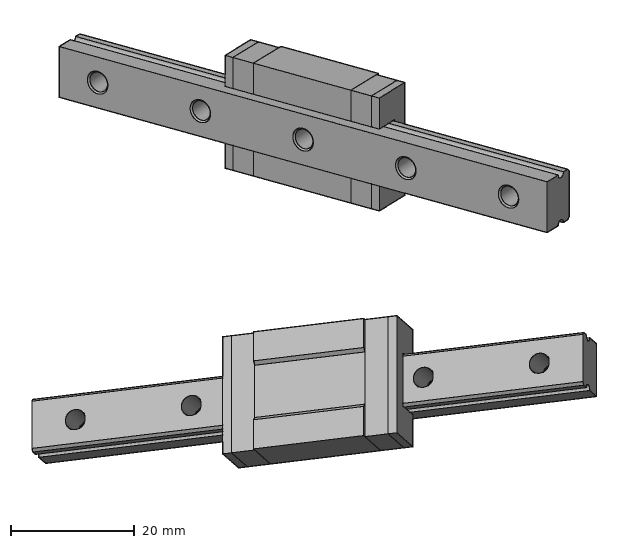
import cadquery as cq


rail_length = 95.0
rail_width = 9.0
rail_height = 6.5
rail_chamfer = 0.5
groove_radius = 0.8
groove_center_height = 4.0

hole_count = 5
hole_end_margin = 7.5
hole_pitch = (rail_length - 2 * hole_end_margin) / (hole_count - 1)
hole_diameter = 3.4
hole_chamfer = 0.3

carriage_width = 20.0
carriage_top = 10.0
carriage_clearance = 2.0
carriage_offset = -1.5
block_length = 19.0
cap_length = 4.0
seal_length = 1.5
end_step = 0.6
channel_floor_width = 8.9


def box_between(length, bottom, top, width):
    """Box centred on X and Z, reaching from bottom to top along Y."""
    middle = (bottom + top) / 2
    return cq.Workplane("XY").box(length, top - bottom, width).translate((0, middle, 0))


def make_rail():
    """Bar with two chamfered edges, a half-round ball groove in each side and a row of mounting holes."""
    bar = box_between(rail_length, 0, rail_height, rail_width)
    bar = bar.faces(">Y").edges("|X").chamfer(rail_chamfer)

    groove_axis = rail_width / 2
    grooves = (
        cq.Workplane("YZ")
        .pushPoints([(groove_center_height, -groove_axis), (groove_center_height, groove_axis)])
        .circle(groove_radius)
        .extrude(rail_length / 2, both=True)
    )

    mounting_holes = (
        cq.Workplane("XZ")
        .rarray(hole_pitch, 0.95, hole_count, 1)
        .circle(hole_diameter / 2)
        .extrude(-rail_height)
    )
    drilled = bar.cut(grooves).cut(mounting_holes)
    return drilled.faces("<Y").edges("%CIRCLE").chamfer(hole_chamfer)


def make_carriage_section(length, top, center_x):
    """Slice of the carriage that straddles the rail."""
    body = box_between(length, carriage_clearance, top, carriage_width)
    rail_slot = box_between(length, carriage_clearance, rail_height, rail_width)
    return body.cut(rail_slot).translate((center_x, 0, 0))


def make_block():
    """Middle of the carriage, with a 45 degree sided channel along its mounting face."""
    floor_half = channel_floor_width / 2
    mouth_half = floor_half + end_step
    channel_floor = carriage_top - end_step
    channel = (
        cq.Workplane("YZ", origin=(carriage_offset, 0, 0))
        .polyline(
            [
                (channel_floor, -floor_half),
                (channel_floor, floor_half),
                (carriage_top, mouth_half),
                (carriage_top, -mouth_half),
            ]
        )
        .close()
        .extrude(block_length / 2, both=True)
    )
    return make_carriage_section(block_length, carriage_top, carriage_offset).cut(channel)


def make_end_cap(side):
    """Cap against the block's end; side is -1 or 1 along X."""
    distance = (block_length + cap_length) / 2
    return make_carriage_section(cap_length, carriage_top - end_step, carriage_offset + side * distance)


def make_end_seal(side):
    """Thin wiper plate outside an end cap; side is -1 or 1 along X."""
    distance = block_length / 2 + cap_length + seal_length / 2
    return make_carriage_section(seal_length, carriage_top - end_step, carriage_offset + side * distance)


rail = make_rail()
block = make_block()
end_caps = [make_end_cap(side) for side in (-1, 1)]
end_seals = [make_end_seal(side) for side in (-1, 1)]

result = cq.Compound.makeCompound(
    [
        rail.val(),
        block.val(),
        *[cap.val() for cap in end_caps],
        *[seal.val() for seal in end_seals],
    ]
)